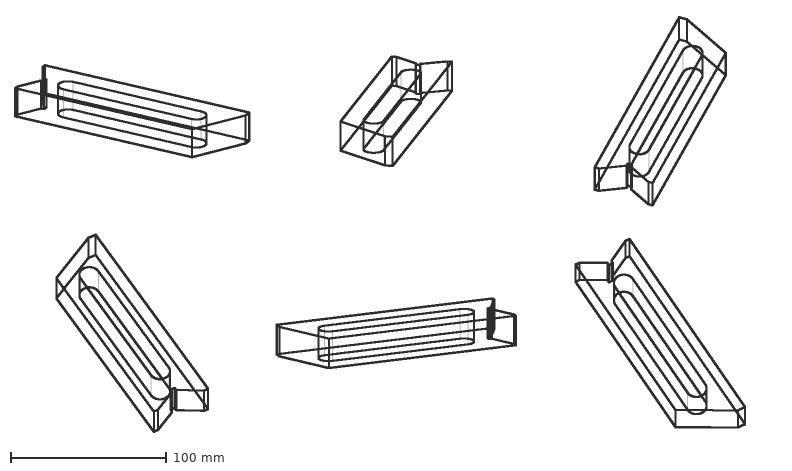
import cadquery as cq
import math

length = 150.0
width = 40.0
height = 20.0
half_width = width / 2
face_slope = math.tan(math.radians(60))

jaw_land = 3.0
groove_width = 3.0
groove_bottom = 11.1
half_groove = groove_width / 2
jaw_half_opening = half_width - jaw_land
jaw_depth = (jaw_half_opening - half_groove) / face_slope

bevel_run = 20.1
bevel_rise = bevel_run * face_slope

slot_length = 107.1
slot_width = 13.0


def bar_blank():
    """Extruded outline with the V jaw, its relief groove and the angled end."""
    outline = [
        (0, -half_width),
        (length - bevel_run, -half_width),
        (length, -half_width + bevel_rise),
        (length, half_width),
        (0, half_width),
        (0, jaw_half_opening),
        (jaw_depth, half_groove),
        (groove_bottom, half_groove),
        (groove_bottom, -half_groove),
        (jaw_depth, -half_groove),
        (0, -jaw_half_opening),
    ]
    return cq.Workplane("XY").polyline(outline).close().extrude(height)


def slot_cutter():
    """Round-ended slot through the full height."""
    return cq.Workplane("XY").center(length / 2, 0).slot2D(slot_length, slot_width).extrude(height)


result = bar_blank().cut(slot_cutter())